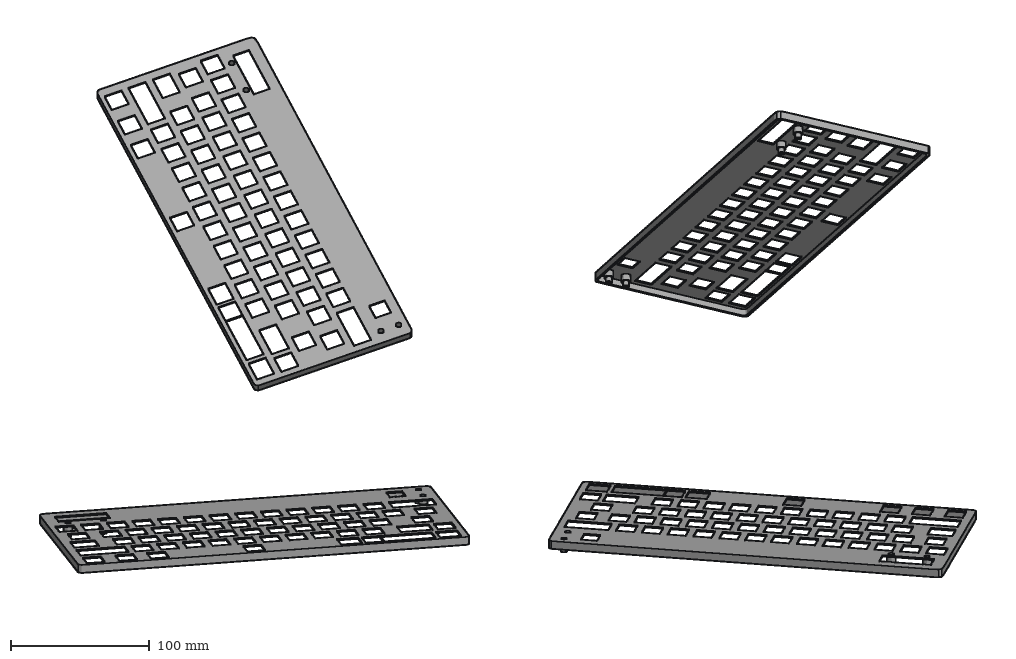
import cadquery as cq
import math


case_length = 290.3
case_width = 124.5
case_height = 6.0
plate_thickness = 1.2
rim_thickness = 1.7
plate_underside = case_height - plate_thickness

corner_radius = 3.2
corner_facets = 5
rear_left_inset = 0.3
rear_left_reach = 6.5
rear_edge_drop = 0.5

total_height = 10.0
boss_diameter = 6.7
pin_diameter = 4.5
bore_diameter = 4.0
screw_hole_diameter = 2.2
bore_floor = 1.0
pin_bottom = case_height - total_height
post_centers = [(16.0, 99.8), (42.5, 99.8), (280.0, 117.0), (280.0, 103.0)]

key_pitch = 285.5 / 15
key_size = 13.4
bottom_row_y = 10.5
shift_row_y = 29.3
home_row_y = 48.5
tab_row_y = 67.5
number_row_y = 86.8

key_runs = [
    (11.5, number_row_y, 13),
    (40.0, tab_row_y, 12),
    (45.0, home_row_y, 11),
    (54.3, shift_row_y, 10),
]

single_keys = [
    (268.5, number_row_y, 32.2),
    (16.3, tab_row_y, key_size),
    (273.5, tab_row_y, key_size),
    (16.0, home_row_y, 18.3),
    (266.5, home_row_y, key_size),
    (24.7, shift_row_y, 35.7),
    (256.3, shift_row_y, 23.5),
    (278.6, shift_row_y, key_size),
    (13.5, bottom_row_y, key_size),
    (37.7, bottom_row_y, key_size),
    (61.2, bottom_row_y, key_size),
    (132.6, bottom_row_y, key_size),
    (203.5, bottom_row_y, 15.7),
    (220.5, bottom_row_y, key_size),
    (246.7, bottom_row_y, 38.0),
    (277.0, bottom_row_y, 15.7),
]

rear_windows = [
    (29.0, 109.7, 38.0, 12.5),
    (261.8, 110.3, 12.0, 12.2),
]


def corner_points(center_x, center_y, start_degrees):
    """Points along a quarter-round corner made of short flats."""
    points = []
    for i in range(corner_facets + 1):
        angle = math.radians(start_degrees + 90 * i / corner_facets)
        x = center_x + corner_radius * math.cos(angle)
        y = center_y + corner_radius * math.sin(angle)
        points.append((x, y))
    return points


def case_shell():
    """Block with the outer outline, hollowed from below."""
    left = corner_radius
    right = case_length - corner_radius
    front = corner_radius
    rear = case_width - corner_radius
    outline = (
        corner_points(right, rear - rear_edge_drop, 0)
        + [(rear_left_reach, case_width)]
        + corner_points(left + rear_left_inset, rear - rear_left_inset, 90)
        + [(0, case_width - rear_left_reach)]
        + corner_points(left, front, 180)
        + corner_points(right, front, 270)
    )
    block = cq.Workplane("XY").polyline(outline).close().extrude(case_height)
    cavity = (
        cq.Workplane("XY")
        .center(case_length / 2, case_width / 2)
        .rect(case_length - 2 * rim_thickness, case_width - 2 * rim_thickness)
        .extrude(plate_underside)
        .edges("|Z")
        .fillet(corner_radius)
    )
    return block.cut(cavity)


def openings(centers, length, width):
    """Cutters through the plate, one at each center."""
    return (
        cq.Workplane("XY")
        .pushPoints(centers)
        .rect(length, width)
        .extrude(case_height)
    )


def post_cylinders(diameter, bottom):
    """Cylinders on all post centers, from the given height up to the plate's top."""
    return (
        cq.Workplane("XY", origin=(0, 0, bottom))
        .pushPoints(post_centers)
        .circle(diameter / 2)
        .extrude(case_height - bottom)
    )


result = case_shell()
result = result.union(post_cylinders(boss_diameter, 0))
result = result.union(post_cylinders(pin_diameter, pin_bottom))

for first_x, row_y, key_count in key_runs:
    run_centers = [(first_x + i * key_pitch, row_y) for i in range(key_count)]
    result = result.cut(openings(run_centers, key_size, key_size))
for x, y, length in single_keys:
    result = result.cut(openings([(x, y)], length, key_size))
for x, y, length, width in rear_windows:
    result = result.cut(openings([(x, y)], length, width))

result = result.cut(post_cylinders(bore_diameter, bore_floor))
result = result.cut(post_cylinders(screw_hole_diameter, pin_bottom))